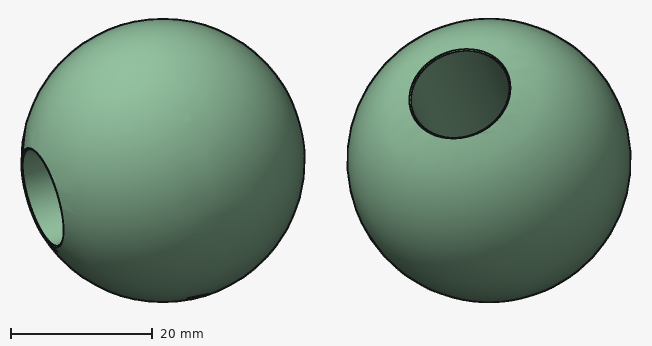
import cadquery as cq

ball_diameter = 40.0
bore_diameter = 14.2
rim_chamfer = 0.24


def make_ball():
    """Ball centred on the origin, with its poles on the Z axis."""
    return cq.Workplane("XY").sphere(ball_diameter / 2)


def make_bore():
    """Cylinder along Y that passes right through the ball."""
    return cq.Workplane("XZ").circle(bore_diameter / 2).extrude(ball_diameter, both=True)


def chamfer_rims(body):
    """Break the circular edge at each mouth of the bore."""
    return body.edges("<Y or >Y").chamfer(rim_chamfer)


bored_ball = make_ball().cut(make_bore())
result = chamfer_rims(bored_ball)